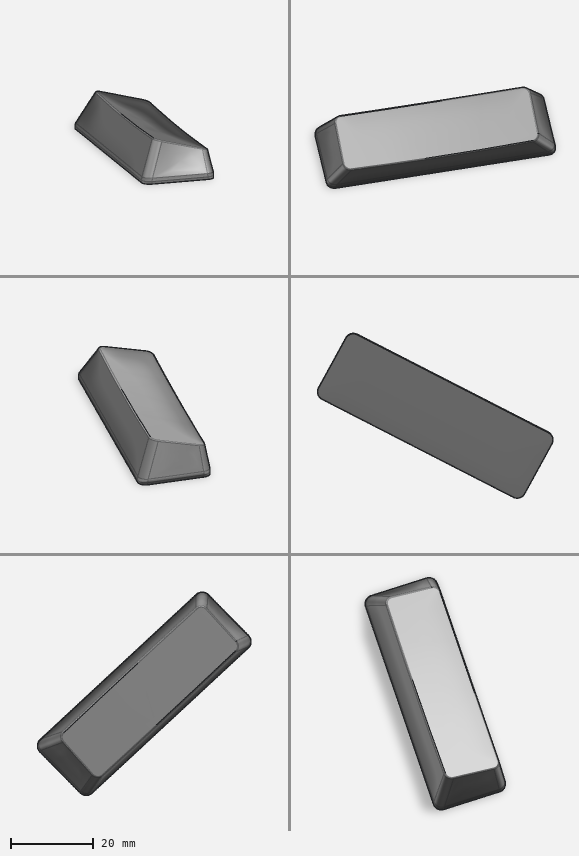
import cadquery as cq
import math

length = 56.25
width = 18.2
skirt_height = 0.7

blend_height = 0.8

top_half_length = 23.95
top_front_y = -5.0
top_back_y = 8.8
top_front_z = 9.95
top_tilt = 15.3

dish_radius = 599.75

base_corner_radius = 2.0
top_corner_radius = 1.85
top_edge_radius = 0.35

tilt = math.radians(top_tilt)
top_normal = cq.Vector(0, math.sin(tilt), math.cos(tilt))
top_slope = cq.Vector(0, math.cos(tilt), -math.sin(tilt))
top_depth = (top_back_y - top_front_y) / math.cos(tilt)
top_front = cq.Vector(0, top_front_y, top_front_z)
top_center = top_front + top_slope * (top_depth / 2)
top_back = top_front + top_slope * top_depth

wall_meets_skirt_z = skirt_height + blend_height / 2
front_slope = (width / 2 + top_front_y) / (top_front_z - wall_meets_skirt_z)
back_slope = (width / 2 - top_back_y) / (top_back.z - wall_meets_skirt_z)
end_slope = (length / 2 - top_half_length) / (top_center.z - wall_meets_skirt_z)
front_inset = front_slope * blend_height / 2
back_inset = back_slope * blend_height / 2
end_inset = end_slope * blend_height / 2


def rounded_outline(plane, size_x, size_y, radius):
    """Closed rounded rectangle centred on the given plane."""
    rectangle = cq.Workplane(plane).rect(size_x, size_y).val()
    return rectangle.fillet2D(radius, rectangle.Vertices())


def blend_outline(rise):
    """Level outline at a fraction of the blend height, drawn in along a parabola."""
    share = rise**2
    center_y = (front_inset - back_inset) * share / 2
    return rounded_outline(
        cq.Plane(origin=(0, center_y, skirt_height + rise * blend_height)),
        length - 2 * end_inset * share,
        width - (front_inset + back_inset) * share,
        base_corner_radius,
    )


def make_skirt():
    """Upright band standing on the ground."""
    ground = rounded_outline(cq.Plane.XY(), length, width, base_corner_radius)
    return cq.Workplane(cq.Solid.makeLoft([ground, blend_outline(0)], True))


def make_blend():
    """Smooth band bending inward from the skirt to the walls."""
    return cq.Workplane(cq.Solid.makeLoft([blend_outline(0), blend_outline(0.5), blend_outline(1)]))


def make_walls():
    """Straight-sided walls from the level blend outline to the tilted top outline."""
    top_plane = cq.Plane(origin=top_center, xDir=(1, 0, 0), normal=top_normal)
    top = rounded_outline(top_plane, 2 * top_half_length, top_depth, top_corner_radius)
    return cq.Workplane(cq.Solid.makeLoft([blend_outline(1), top], True))


def make_dish():
    """Cylinder that meets the top along its two ends and sinks below it in the middle."""
    axis_height = math.sqrt(dish_radius**2 - top_half_length**2)
    start = top_front + top_normal * axis_height - top_slope * top_depth
    return cq.Workplane(cq.Solid.makeCylinder(dish_radius, 3 * top_depth, start, top_slope))


walls = make_walls().cut(make_dish())
walls = walls.faces(cq.selectors.NearestToPointSelector(top_center)).edges().fillet(top_edge_radius)

result = make_skirt().union(make_blend()).union(walls)